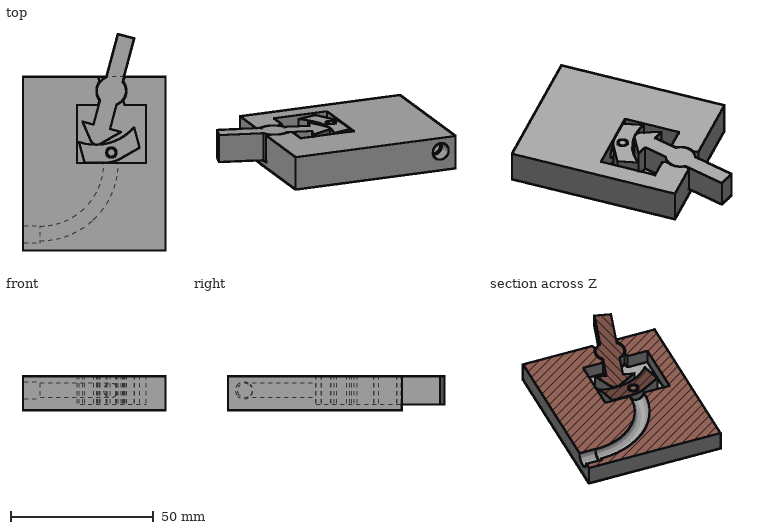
import cadquery as cq
import math


housing_width = 50.0
housing_length = 61.0
housing_height = 12.0
pivot_to_left_side = 31.0
pivot_to_back = 5.0
left_side_x = -pivot_to_left_side
front_y = pivot_to_back - housing_length

floor_height = 2.0
recess_depth = housing_height - floor_height
mid_recess_height = floor_height + recess_depth / 2
pocket_width = 24.2
pocket_length = 20.2
neck_length = 10.0
pocket_back_y = pivot_to_back - neck_length
pocket_front_y = pocket_back_y - pocket_length

lever_swing = 15.0
lever_half_width = 3.0
handle_length = 19.9
hub_radius = 5.1
socket_radius = 5.3
neck_clearance = 0.2
barb_distance = 13.0
barb_half_width = 7.0
apex_distance = 20.8
apex_offset = -0.8
tip_radius = 2.4

rocker_tilt = 15.0
rocker_pivot_y = -21.6
rocker_half_width = 10.0
rocker_side_top = 6.5
rocker_side_bottom = -0.9
rocker_dish_bottom = 3.45
rocker_keel_radius = 10.0
rocker_hole_diameter = 3.6
pin_diameter = 3.0

entry_diameter = 6.0
entry_depth = 6.0
entry_y = front_y + 5.7
entry_height = 7.0
passage_diameter = 5.1
passage_y = entry_y + 0.25
passage_bend_radius = pocket_front_y - passage_y


def recess_plane():
    return cq.Workplane("XY").workplane(offset=floor_height)


def round_upright_edge(solid, x, y, radius):
    edge = cq.selectors.NearestToPointSelector((x, y, mid_recess_height))
    return solid.edges(edge).fillet(radius)


def make_lever():
    arm_outline = [
        (-lever_half_width, handle_length),
        (lever_half_width, handle_length),
        (lever_half_width, -barb_distance),
        (barb_half_width, -barb_distance),
        (apex_offset, -apex_distance),
        (-barb_half_width, -barb_distance),
        (-lever_half_width, -barb_distance),
    ]
    arm = recess_plane().polyline(arm_outline).close().extrude(recess_depth)
    arm = round_upright_edge(arm, apex_offset, -apex_distance, tip_radius)
    hub = recess_plane().circle(hub_radius).extrude(recess_depth)
    return arm.union(hub).rotate((0, 0, 0), (0, 0, 1), -lever_swing)


def make_rocker():
    underside_drop = rocker_half_width * math.tan(math.radians(rocker_tilt))
    keel_y = rocker_side_bottom - underside_drop
    rocker = (
        recess_plane()
        .moveTo(-rocker_half_width, rocker_side_top)
        .threePointArc((0, rocker_dish_bottom), (rocker_half_width, rocker_side_top))
        .lineTo(rocker_half_width, rocker_side_bottom)
        .lineTo(0, keel_y)
        .lineTo(-rocker_half_width, rocker_side_bottom)
        .close()
        .extrude(recess_depth)
    )
    rocker = round_upright_edge(rocker, 0, keel_y, rocker_keel_radius)
    pin_hole = recess_plane().circle(rocker_hole_diameter / 2).extrude(recess_depth)
    rocker = rocker.cut(pin_hole).rotate((0, 0, 0), (0, 0, 1), rocker_tilt)
    return rocker.translate((0, rocker_pivot_y, 0))


def make_recess():
    pocket_middle_y = (pocket_back_y + pocket_front_y) / 2
    pocket = (
        recess_plane()
        .center(0, pocket_middle_y)
        .rect(pocket_width, pocket_length)
        .extrude(recess_depth)
    )
    socket = recess_plane().circle(socket_radius).extrude(recess_depth)

    swing = math.radians(lever_swing)
    throat = (lever_half_width + neck_clearance) / math.cos(swing)
    back_mouth = throat + pivot_to_back * math.tan(swing)
    pocket_mouth = throat - pocket_back_y * math.tan(swing)
    neck_outline = [
        (-back_mouth, pivot_to_back),
        (back_mouth, pivot_to_back),
        (throat, 0),
        (pocket_mouth, pocket_back_y),
        (-pocket_mouth, pocket_back_y),
        (-throat, 0),
    ]
    neck = recess_plane().polyline(neck_outline).close().extrude(recess_depth)
    return pocket.union(socket).union(neck)


def make_passage():
    entry = (
        cq.Workplane("YZ", origin=(left_side_x, entry_y, entry_height))
        .circle(entry_diameter / 2)
        .extrude(entry_depth)
    )
    bend = (
        cq.Workplane("YZ", origin=(left_side_x + entry_depth, passage_y, entry_height))
        .circle(passage_diameter / 2)
        .revolve(90, (passage_bend_radius, -1, 0), (passage_bend_radius, 1, 0))
    )
    return entry.union(bend)


def make_housing():
    block = cq.Workplane("XY", origin=(left_side_x, front_y, 0)).box(
        housing_width, housing_length, housing_height, centered=False
    )
    pin = (
        recess_plane()
        .center(0, rocker_pivot_y)
        .circle(pin_diameter / 2)
        .extrude(recess_depth)
    )
    return block.cut(make_recess()).cut(make_passage()).union(pin)


housing = make_housing().solids()
lever = make_lever().solids()
rocker = make_rocker().solids()
result = cq.Compound.makeCompound([housing.val(), lever.val(), rocker.val()])